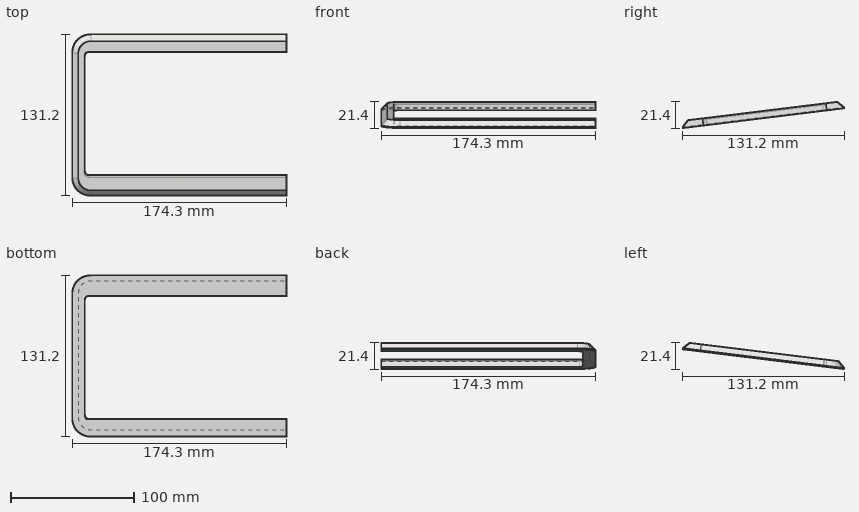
import cadquery as cq

length = 174.3
width = 132.1
tilt_angle = 7.0

rim_height = 1.0
bevel = 5.0
height = rim_height + bevel
outer_corner_radius = 15.0

cross_bar_width = 10.5
opening_width = 101.0
opening_center_y = 1.4
opening_corner_radius = 3.0
opening_edge_radius = 1.0


def u_block(start_x, block_width, corner_radius):
    """Full-height block from start_x to the open +X end, with its two closed-end corners rounded."""
    return (
        cq.Workplane("XY")
        .box(length - start_x, block_width, height, centered=(False, True, False))
        .translate((start_x, 0, 0))
        .edges("|Z and <X")
        .fillet(corner_radius)
    )


def bevelled_plate():
    """Plate bevelled around its outer top edge, except at the +X end."""
    plate = u_block(0, width, outer_corner_radius)
    return plate.faces(">Z").edges("not(>X)").chamfer(bevel)


def opening():
    """Space between the arms, open towards +X."""
    block = u_block(cross_bar_width, opening_width, opening_corner_radius)
    return block.translate((0, opening_center_y, 0))


def round_opening_edge(frame):
    """Round the top edge all along the opening."""
    margin = opening_edge_radius
    reach_y = opening_width / 2 + margin
    around_opening = cq.selectors.BoxSelector(
        (cross_bar_width - margin, opening_center_y - reach_y, height - margin),
        (length - margin, opening_center_y + reach_y, height + margin),
    )
    return frame.edges(around_opening).fillet(opening_edge_radius)


flat_frame = round_opening_edge(bevelled_plate().cut(opening()))
result = flat_frame.rotate((0, 0, 0), (1, 0, 0), tilt_angle)